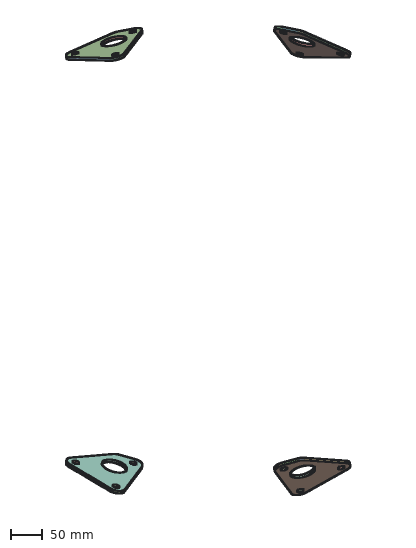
import cadquery as cq
import math

OVERALL_HEIGHT = 746.0
TILT = 14.5
UPHILL_HEADING = 43.5

THICKNESS = 4.85
CORNER_RADIUS = 15.0
BOLT_DIAMETER = 10.5
HIGH_BOLT = (96.0, 1.5)
LOW_BOLT = (67.0, -76.0)
BLUNT_CORNER = (4.5, -24.5)
WINDOW_DIAMETER = 40.0
WINDOW_CENTER = (33.0, -21.5)

FIRST_BOLT_X = -27.0
FIRST_BOLT_Y = 50.0

BOLT_CENTERS = [(0, 0), HIGH_BOLT, LOW_BOLT]


def upper_face_plane():
    """Plane of the upper plate's top face, rising towards the uphill heading."""
    tilt = math.radians(TILT)
    heading = math.radians(UPHILL_HEADING)
    highest_local_y = HIGH_BOLT[1] + CORNER_RADIUS
    bolt_z = OVERALL_HEIGHT / 2 - highest_local_y * math.sin(tilt)
    return cq.Plane(
        origin=(FIRST_BOLT_X, FIRST_BOLT_Y, bolt_z),
        xDir=(math.sin(heading), -math.cos(heading), 0),
        normal=(
            -math.sin(tilt) * math.cos(heading),
            -math.sin(tilt) * math.sin(heading),
            math.cos(tilt),
        ),
    )


def make_upper_plate():
    """Rounded plate with three bolt holes and one large round window."""
    plane = upper_face_plane()
    corner_centers = [*BOLT_CENTERS, BLUNT_CORNER]
    blank = (
        cq.Workplane(plane)
        .polyline(corner_centers)
        .close()
        .offset2D(CORNER_RADIUS, "arc")
        .extrude(-THICKNESS)
    )
    bolt_holes = (
        cq.Workplane(plane)
        .pushPoints(BOLT_CENTERS)
        .circle(BOLT_DIAMETER / 2)
        .extrude(-THICKNESS)
    )
    window = (
        cq.Workplane(plane)
        .center(*WINDOW_CENTER)
        .circle(WINDOW_DIAMETER / 2)
        .extrude(-THICKNESS)
    )
    return blank.cut(bolt_holes).cut(window)


upper_plate = make_upper_plate()
lower_plate = upper_plate.mirror("XY")
plates = [upper_plate, lower_plate]

result = cq.Compound.makeCompound([plate.val() for plate in plates])